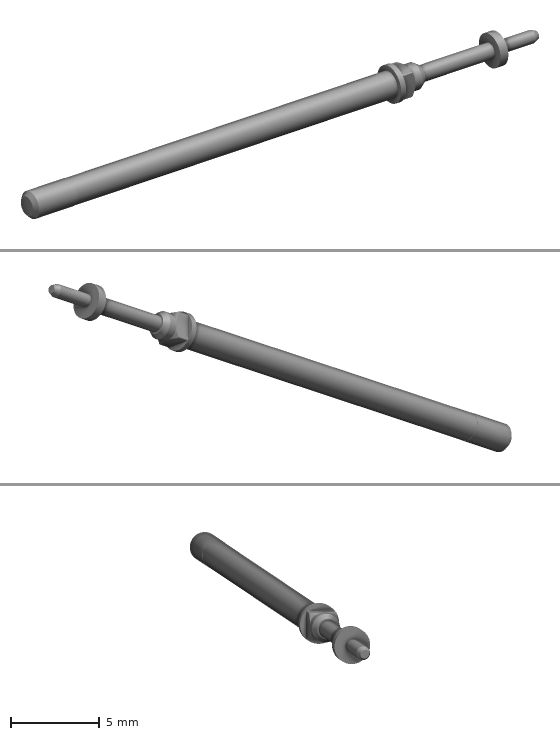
import cadquery as cq

total_length = 35.8
tip_length = 2.75
disc_thickness = 0.55
shaft_length = 4.95
nose_cone_length = 0.35
collar_length = 0.5
square_length = 0.9
square_cone_length = 0.2
flange_thickness = 0.35
end_plug_length = 2.95

tip_diameter = 0.8
disc_diameter = 2.1
shaft_diameter = 1.0
nose_diameter = 1.2
barrel_diameter = 1.65
end_plug_diameter = 1.68
flange_diameter = 2.3
square_width = 1.6
square_corner_diameter = 2.2

tip_chamfer_length = 0.35
tip_chamfer_depth = 0.15
end_chamfer = 0.25

flange_front = flange_thickness
square_front = flange_front + square_length
collar_front = square_front + collar_length
nose_front = collar_front + nose_cone_length
disc_rear = nose_front + shaft_length
disc_front = disc_rear + disc_thickness
tip_end = disc_front + tip_length
barrel_end = tip_end - total_length
plug_front = barrel_end + end_plug_length


def cylinder(diameter, start, end):
    """Round bar about the Y axis between two Y stations."""
    plane = cq.Workplane("XZ", origin=(0, start, 0))
    return plane.circle(diameter / 2).extrude(start - end)


def revolve_about_y(profile):
    """Solid of revolution about Y from (radius, y) profile points."""
    return cq.Workplane("XY").polyline(profile).close().revolve(360, (0, 0, 0), (0, 1, 0))


def make_plunger():
    """Slim shaft with a disc and a tip with a tapered end."""
    shaft = cylinder(shaft_diameter, nose_front, disc_rear)
    disc = cylinder(disc_diameter, disc_rear, disc_front)
    tip_radius = tip_diameter / 2
    tip = revolve_about_y([
        (0, disc_front),
        (tip_radius, disc_front),
        (tip_radius, tip_end - tip_chamfer_length),
        (tip_radius - tip_chamfer_depth, tip_end),
        (0, tip_end),
    ])
    return shaft.union(disc).union(tip)


def make_square():
    """Square drive whose corners are rounded and taper conically to the collar."""
    block = (
        cq.Workplane("XZ", origin=(0, flange_front, 0))
        .rect(square_width, square_width)
        .extrude(-square_length)
    )
    corner_radius = square_corner_diameter / 2
    envelope = revolve_about_y([
        (0, flange_front),
        (corner_radius, flange_front),
        (corner_radius, square_front - square_cone_length),
        (barrel_diameter / 2, square_front),
        (0, square_front),
    ])
    return block.intersect(envelope)


def make_barrel():
    """Barrel with end plug, flange, square, collar and nose cone."""
    plug = cylinder(end_plug_diameter, barrel_end, plug_front).faces("<Y").chamfer(end_chamfer)
    tube = cylinder(barrel_diameter, plug_front, 0)
    flange = cylinder(flange_diameter, 0, flange_front)
    barrel_radius = barrel_diameter / 2
    nose = revolve_about_y([
        (0, square_front),
        (barrel_radius, square_front),
        (barrel_radius, collar_front),
        (nose_diameter / 2, nose_front),
        (0, nose_front),
    ])
    return plug.union(tube).union(flange).union(make_square()).union(nose)


result = make_barrel().union(make_plunger())